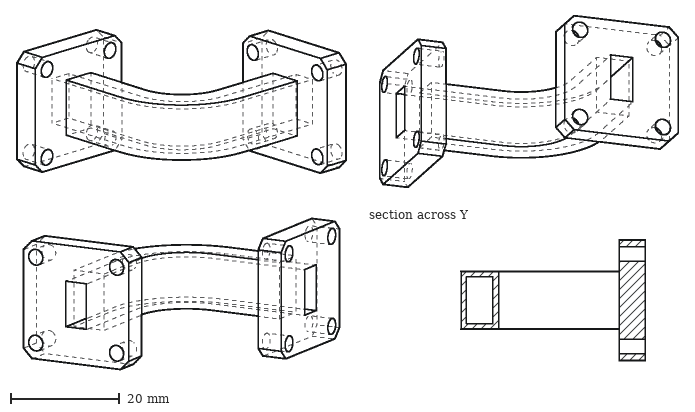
import cadquery as cq

overall = 42.85
flange_size = 22.25
flange_thickness = 4.85
flange_chamfer = 1.8
hole_diameter = 2.95
hole_spacing_long = 17.0
hole_spacing_short = 16.25
tube_width = 6.35
tube_height = 10.67
bore_width = 4.35
bore_height = 8.6
bend_radius = 12.7

axis_reach = overall - flange_size / 2
bend_start = axis_reach - bend_radius

inlet_face = cq.Workplane("YZ")
outlet_face = cq.Workplane("XZ", origin=(axis_reach, axis_reach, 0))


def flange(face, spacing_across, spacing_z):
    """Square plate with cut corners and four bolt holes, grown along the face normal."""
    plate = face.rect(flange_size, flange_size).extrude(flange_thickness)
    plate = plate.edges("|X" if face is inlet_face else "|Y").chamfer(flange_chamfer)
    holes = (
        face.rect(spacing_across, spacing_z, forConstruction=True)
        .vertices()
        .circle(hole_diameter / 2)
        .extrude(flange_thickness)
    )
    return plate.cut(holes)


def swept_bar(width, height):
    """Rectangular bar following the 90 degree bend from face to face."""
    path = (
        cq.Workplane("XY")
        .lineTo(bend_start, 0)
        .radiusArc((axis_reach, bend_radius), -bend_radius)
        .lineTo(axis_reach, axis_reach)
    )
    return inlet_face.rect(width, height).sweep(path)


inlet_flange = flange(inlet_face, hole_spacing_short, hole_spacing_long)
outlet_flange = flange(outlet_face, hole_spacing_long, hole_spacing_short)
tube = swept_bar(tube_width, tube_height)
bore = swept_bar(bore_width, bore_height)

result = tube.union(inlet_flange).union(outlet_flange).cut(bore)